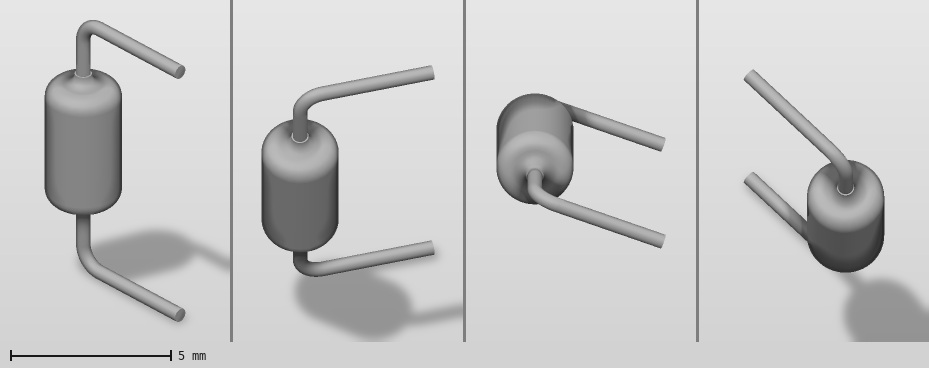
import cadquery as cq

BODY_DIAMETER = 2.41
BODY_LENGTH = 4.31
BODY_EDGE_RADIUS = 0.46
NECK_DIAMETER = 0.54
NECK_HEIGHT = 0.39

OVERALL_HEIGHT = 9.45
OVERALL_WIDTH = 5.46
LEAD_DIAMETER = 0.45
BEND_RADIUS = 0.72

body_end_z = BODY_LENGTH / 2
neck_end_z = body_end_z + NECK_HEIGHT
lead_height = (OVERALL_HEIGHT - LEAD_DIAMETER) / 2
lead_tip_x = OVERALL_WIDTH - BODY_DIAMETER / 2


def make_body():
    """Rounded cylinder that flares into a concave neck at each end, revolved from its half profile."""
    barrel_radius = BODY_DIAMETER / 2
    neck_radius = NECK_DIAMETER / 2
    flat_outer_radius = barrel_radius - BODY_EDGE_RADIUS
    flat_inner_radius = neck_radius + NECK_HEIGHT
    edge_start_z = body_end_z - BODY_EDGE_RADIUS
    return (
        cq.Workplane("XZ")
        .moveTo(0, -neck_end_z)
        .lineTo(neck_radius, -neck_end_z)
        .radiusArc((flat_inner_radius, -body_end_z), NECK_HEIGHT)
        .lineTo(flat_outer_radius, -body_end_z)
        .tangentArcPoint((barrel_radius, -edge_start_z), relative=False)
        .lineTo(barrel_radius, edge_start_z)
        .tangentArcPoint((flat_outer_radius, body_end_z), relative=False)
        .lineTo(flat_inner_radius, body_end_z)
        .radiusArc((neck_radius, neck_end_z), NECK_HEIGHT)
        .lineTo(0, neck_end_z)
        .close()
        .revolve(360, (0, 0, 0), (0, 1, 0))
    )


def make_lead(side):
    """Lead leaving the neck along Z and bending to +X; side is +1 for the top, -1 for the bottom."""
    path = (
        cq.Workplane("XZ")
        .moveTo(0, side * neck_end_z)
        .lineTo(0, side * (lead_height - BEND_RADIUS))
        .tangentArcPoint((BEND_RADIUS, side * lead_height), relative=False)
        .lineTo(lead_tip_x, side * lead_height)
    )
    return (
        cq.Workplane("XY")
        .workplane(offset=side * neck_end_z)
        .circle(LEAD_DIAMETER / 2)
        .sweep(path)
    )


body = make_body()
leads = [make_lead(side) for side in (1, -1)]

result = cq.Compound.makeCompound([body.val(), *[lead.val() for lead in leads]])